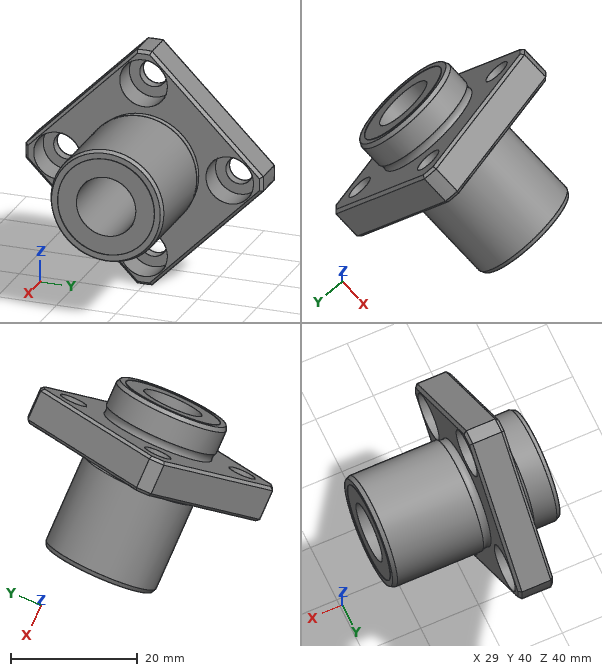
import cadquery as cq
import math

length = 29.0
sleeve_diameter = 19.0
bore_diameter = 10.0
end_chamfer_length = 0.7
end_chamfer_depth = 0.35

undercut_diameter = 18.4
undercut_width = 1.4
undercut_radius = 1.5

flange_front = 6.0
flange_thickness = 6.0
flange_side = 30.0
flange_corner_diameter = 40.0
flange_chamfer = 0.5

screw_circle_diameter = 29.0
screw_hole_diameter = 4.5
counterbore_diameter = 8.0
counterbore_depth = 4.3
screw_count = 4

seal_diameter = 16.3
seal_recess = 0.1

flange_back = flange_front + flange_thickness


def cylinder(diameter, start, end, y=0.0, z=0.0):
    """Solid cylinder along X from start to end, centred at (y, z)."""
    return cq.Workplane("YZ", origin=(start, y, z)).circle(diameter / 2).extrude(end - start)


def make_sleeve():
    """Revolve the stepped outside of the sleeve around X."""
    outer = sleeve_diameter / 2
    end_radius = outer - end_chamfer_depth
    floor = undercut_diameter / 2

    undercut_depth = outer - floor
    undercut_run = math.sqrt(undercut_depth * (2 * undercut_radius - undercut_depth))
    floor_to_flange = undercut_width - undercut_run
    flange_foot = floor + undercut_radius - math.sqrt(undercut_radius**2 - floor_to_flange**2)

    profile = (
        cq.Workplane("XY")
        .lineTo(0, end_radius)
        .lineTo(end_chamfer_length, outer)
        .lineTo(flange_front - undercut_width, outer)
        .radiusArc((flange_front, flange_foot), -undercut_radius)
        .lineTo(flange_back, flange_foot)
        .radiusArc((flange_back + undercut_width, outer), -undercut_radius)
        .lineTo(length - end_chamfer_length, outer)
        .lineTo(length, end_radius)
        .lineTo(length, 0)
        .close()
    )
    return profile.revolve(360, (0, 0, 0), (1, 0, 0))


def make_flange():
    """Square plate turned 45 degrees, trimmed by a round and chamfered on both faces."""
    square = (
        cq.Workplane("YZ", origin=(flange_front, 0, 0))
        .rect(flange_side, flange_side)
        .extrude(flange_thickness)
        .rotate((0, 0, 0), (1, 0, 0), 45)
    )
    trimmed = square.intersect(cylinder(flange_corner_diameter, flange_front, flange_back))
    return trimmed.faces("<X or >X").edges().chamfer(flange_chamfer)


def cut_screw_holes(body):
    """Through holes, counterbored from the back of the flange."""
    for index in range(screw_count):
        angle = 2 * math.pi * index / screw_count
        y = screw_circle_diameter / 2 * math.cos(angle)
        z = screw_circle_diameter / 2 * math.sin(angle)
        body = body.cut(cylinder(screw_hole_diameter, flange_front, flange_back, y, z))
        body = body.cut(cylinder(counterbore_diameter, flange_back - counterbore_depth, flange_back, y, z))
    return body


def cut_seal_recesses(body):
    """Shallow round recess in each end face of the sleeve."""
    body = body.cut(cylinder(seal_diameter, 0, seal_recess))
    return body.cut(cylinder(seal_diameter, length - seal_recess, length))


flange = cut_screw_holes(make_flange())
body = cut_seal_recesses(make_sleeve().union(flange))
result = body.cut(cylinder(bore_diameter, 0, length))